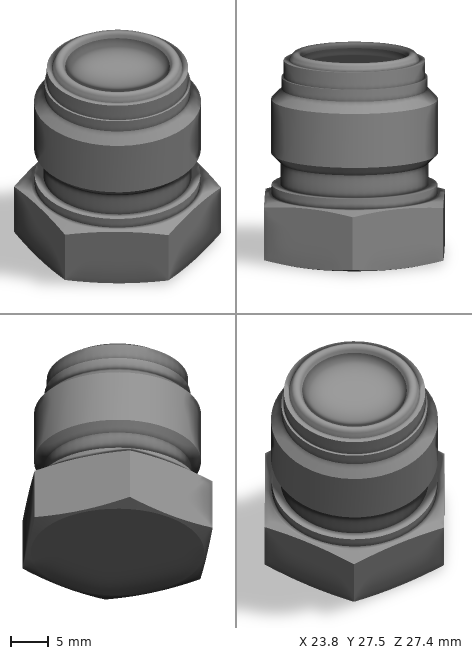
import cadquery as cq
import math

hex_corner_diameter = 27.48
hex_height = 8.3
hex_face_radius = 11.51
hex_chamfer_angle = 15.0

flange_radius = 22.0 / 2
flange_top = 9.65
neck_radius = 19.7 / 2
neck_top = 12.65
body_radius = 22.18 / 2
body_top = 21.15
collar_radius = 19.4 / 2
collar_bottom = 22.55
collar_top = 24.15
tip_radius = 18.8 / 2
tip_top = 26.4
total_height = 27.4
body_bottom = neck_top + (body_radius - neck_radius)

rim_radius = 7.75
rim_round = 0.65
rim_flank_angle = 60.0
recess_radius = 13.9 / 2
recess_floor = 25.89
recess_corner_round = 0.8


def make_hex_head():
    """Hexagonal prism with its corners turned to a cone at both ends."""
    prism = (
        cq.Workplane("XY")
        .polygon(6, hex_corner_diameter)
        .extrude(hex_height)
        .rotate((0, 0, 0), (0, 0, 1), 30)
    )
    corner_radius = hex_corner_diameter / 2
    corner_drop = (corner_radius - hex_face_radius) * math.tan(math.radians(hex_chamfer_angle))
    envelope = (
        cq.Workplane("XZ")
        .moveTo(0, 0)
        .lineTo(hex_face_radius, 0)
        .lineTo(corner_radius, corner_drop)
        .lineTo(corner_radius, hex_height - corner_drop)
        .lineTo(hex_face_radius, hex_height)
        .lineTo(0, hex_height)
        .close()
        .revolve(360, (0, 0, 0), (0, 1, 0))
    )
    return prism.intersect(envelope)


def make_shank():
    """Stepped shank, rim and recess as one revolved profile."""
    flank = math.radians(rim_flank_angle)
    flank_slope = math.tan(flank)
    round_half_width = rim_round * math.sin(flank)
    flank_top = total_height - rim_round * (1 - math.cos(flank))
    outer_flank_top = rim_radius + round_half_width
    inner_flank_top = rim_radius - round_half_width
    outer_flank_base = outer_flank_top + (flank_top - tip_top) / flank_slope
    inner_flank_base = flank_top - (inner_flank_top - recess_radius) * flank_slope

    arc_offset = recess_corner_round * math.sqrt(0.5)
    recess_arc_middle = (
        recess_radius - recess_corner_round + arc_offset,
        recess_floor + recess_corner_round - arc_offset,
    )
    return (
        cq.Workplane("XZ")
        .moveTo(0, 0)
        .lineTo(flange_radius, 0)
        .lineTo(flange_radius, flange_top)
        .lineTo(neck_radius, flange_top)
        .lineTo(neck_radius, neck_top)
        .lineTo(body_radius, body_bottom)
        .lineTo(body_radius, body_top)
        .lineTo(collar_radius, collar_bottom)
        .lineTo(collar_radius, collar_top)
        .lineTo(tip_radius, collar_top)
        .lineTo(tip_radius, tip_top)
        .lineTo(outer_flank_base, tip_top)
        .lineTo(outer_flank_top, flank_top)
        .threePointArc((rim_radius, total_height), (inner_flank_top, flank_top))
        .lineTo(recess_radius, inner_flank_base)
        .lineTo(recess_radius, recess_floor + recess_corner_round)
        .threePointArc(recess_arc_middle, (recess_radius - recess_corner_round, recess_floor))
        .lineTo(0, recess_floor)
        .close()
        .revolve(360, (0, 0, 0), (0, 1, 0))
    )


result = make_hex_head().union(make_shank())